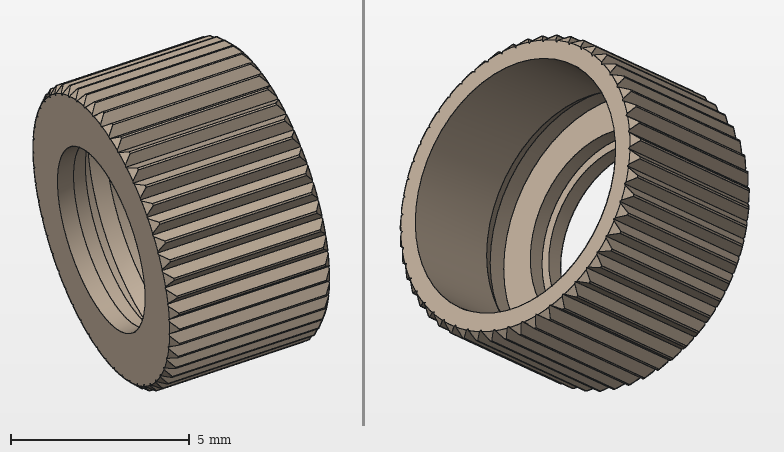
import cadquery as cq
import math

tip_diameter = 9.0
length = 5.0
end_chamfer = 0.21

tooth_count = 51
groove_depth = 0.25
groove_angle = 90.0

entry_diameter = 5.5
entry_depth = 0.5
relief_diameter = 6.0
relief_depth = 1.0
chamber_diameter = 7.5
chamber_depth = 2.0
undercut_diameter = 7.99
cone_half_angle = 30.0

tip_radius = tip_diameter / 2
entry_radius = entry_diameter / 2
relief_radius = relief_diameter / 2
chamber_radius = chamber_diameter / 2
undercut_radius = undercut_diameter / 2
front = -length / 2
back = length / 2


def chamfered_blank():
    """Solid cylinder with chamfered ends, revolved about the Y axis."""
    end_radius = tip_radius - end_chamfer
    return (
        cq.Workplane("XY")
        .moveTo(0, front)
        .lineTo(end_radius, front)
        .lineTo(tip_radius, front + end_chamfer)
        .lineTo(tip_radius, back - end_chamfer)
        .lineTo(end_radius, back)
        .lineTo(0, back)
        .close()
        .revolve(360, (0, 0, 0), (0, 1, 0))
    )


def stepped_bore():
    """Through bore: entry, relief, undercut, then a cone into the rear chamber."""
    cone_length = (undercut_radius - chamber_radius) / math.tan(math.radians(cone_half_angle))
    undercut_depth = chamber_depth - cone_length
    return (
        cq.Workplane("XY")
        .moveTo(0, front)
        .lineTo(entry_radius, front)
        .lineTo(entry_radius, front + entry_depth)
        .lineTo(relief_radius, front + entry_depth)
        .lineTo(relief_radius, front + relief_depth)
        .lineTo(undercut_radius, front + relief_depth)
        .lineTo(undercut_radius, front + undercut_depth)
        .lineTo(chamber_radius, front + chamber_depth)
        .lineTo(chamber_radius, back)
        .lineTo(0, back)
        .close()
        .revolve(360, (0, 0, 0), (0, 1, 0))
    )


def polar_point(radius, angle):
    """Point at a given radius and angle (radians) from the axis."""
    return (radius * math.cos(angle), radius * math.sin(angle))


def knurl_envelope():
    """Star-shaped prism whose V valleys leave the teeth, with a tooth pointing to -Z."""
    root_radius = tip_radius - groove_depth
    half_pitch = math.pi / tooth_count
    half_angle = math.radians(groove_angle / 2)
    peak_radius = root_radius * math.sin(half_angle) / math.sin(half_angle - half_pitch)
    points = []
    for tooth in range(tooth_count):
        peak_angle = -math.pi / 2 + 2 * tooth * half_pitch
        points.append(polar_point(peak_radius, peak_angle))
        points.append(polar_point(root_radius, peak_angle + half_pitch))
    return cq.Workplane("XZ").polyline(points).close().extrude(length / 2, both=True)


result = chamfered_blank().intersect(knurl_envelope()).cut(stepped_bore())